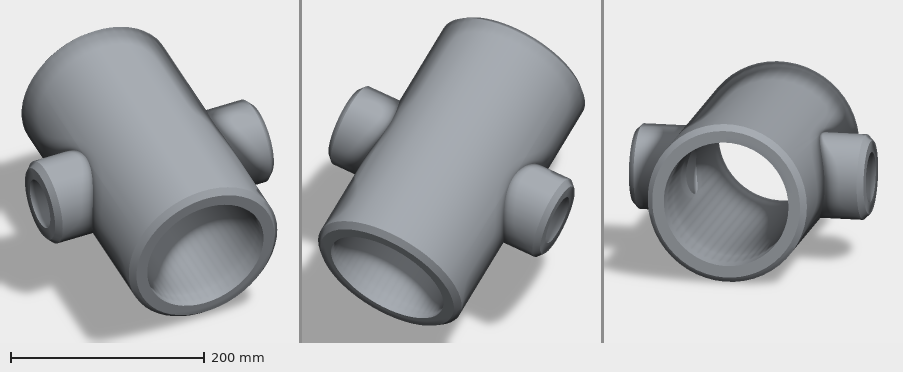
import cadquery as cq

RUN_LENGTH = 285.5
RUN_DIAMETER = 168.3
BRANCH_SPAN = 247.9
BRANCH_DIAMETER = 88.9
WALL = 18.26
END_CHAMFER = 6.0

RUN_BORE = RUN_DIAMETER - 2 * WALL
BRANCH_BORE = BRANCH_DIAMETER - 2 * WALL


def centred_cylinder(plane, diameter, length):
    """Solid cylinder through the origin, along the normal of the plane."""
    return cq.Workplane(plane).circle(diameter / 2).extrude(length / 2, both=True)


def chamfered_bar(plane, axis, diameter, length):
    """Centred cylinder with both end edges chamfered."""
    bar = centred_cylinder(plane, diameter, length)
    return bar.faces(f"<{axis} or >{axis}").edges().chamfer(END_CHAMFER)


run = chamfered_bar("YZ", "X", RUN_DIAMETER, RUN_LENGTH)
branches = chamfered_bar("XZ", "Y", BRANCH_DIAMETER, BRANCH_SPAN)
body = run.union(branches)

run_bore = centred_cylinder("YZ", RUN_BORE, RUN_LENGTH)
branch_bore = centred_cylinder("XZ", BRANCH_BORE, BRANCH_SPAN)

result = body.cut(run_bore).cut(branch_bore)